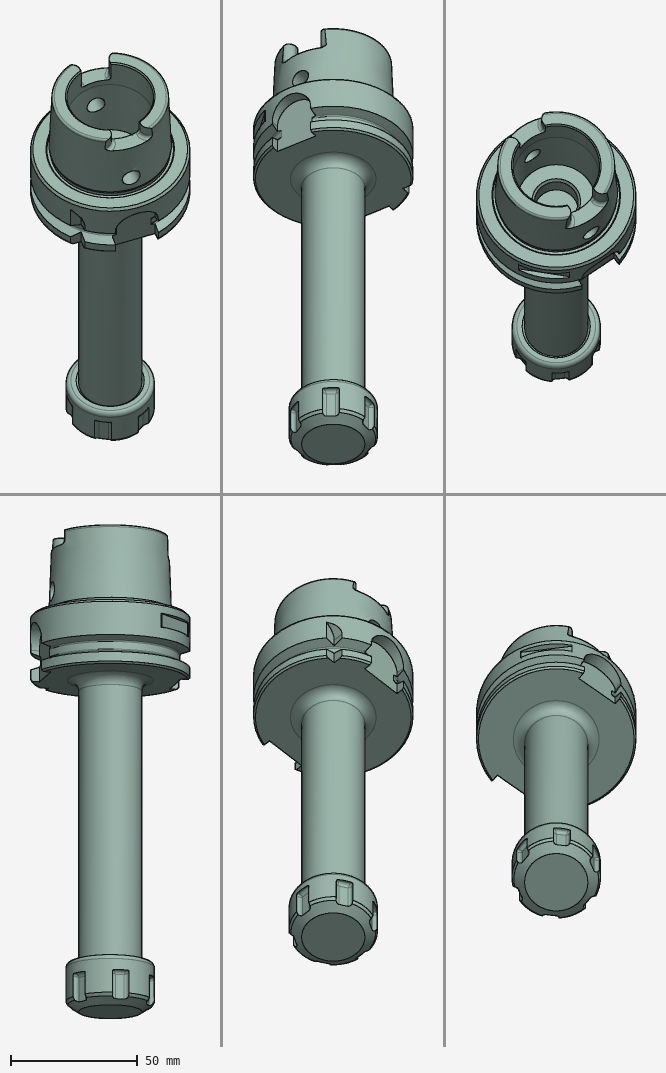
import cadquery as cq
import math

total_height = 192.0

shank_length = 32.0
shank_rim_radius = 23.0
shank_base_radius = 24.2
rim_rounding = 1.0
relief_length = 2.3
relief_inset = 0.4
relief_depth = 0.4
relief_ring_radius = 25.3

bore_radius = 17.0
bore_rim_chamfer = 0.5
bore_straight_depth = 12.9
bore_floor_depth = 38.4
bore_floor_radius = 15.5
well_radius = 8.6
well_chamfer = 1.0
well_depth = 9.6

slot_width = 12.5
slot_corner_radius = 3.5
slot_shoulder = 21.0
left_slot_depth = 10.0
right_slot_depth = 6.0
slot_floor_fillet = 1.5
access_hole_diameter = 7.5
access_hole_depth = 23.2

flange_radius = 31.5
flange_thickness = 26.0
flange_top_chamfer = 1.0
flange_bottom_chamfer = 0.8
groove_radius = 27.5
groove_mouth = 7.0
groove_floor = 3.8
groove_corner_radius = 0.5
groove_center_depth = 50.0

keyway_width = 18.0
keyway_flat = 26.5
keyway_arch_depth = 45.5
notch_floor = 20.2
notch_wall = -19.8
notch_cutter_radius = 8.0
notch_arch_depth = 44.2
pocket_length = 20.4
pocket_height = 5.5
pocket_flat = 29.4
pocket_center_depth = 39.0
pocket_angle = 135

shaft_radius = 12.5
shaft_fillet = 4.5
nut_radius = 17.5
nut_height = 19.5
nut_shoulder = 2.0
nut_mouth_radius = 13.5
nut_lower_edge = 4.0
nut_cone_height = 2.7
nut_cone_radius = 16.7
nut_face_radius = 12.5

spanner_floor = 15.4
spanner_slot_width = 6.7
spanner_floor_fillet = 1.5
spanner_top_corner = 0.8
tall_spanner_top = 14.5
short_spanner_top = 13.2
tall_spanner_angles = (210, 270, 330)
short_spanner_angles = (30, 90, 150)

flange_top = total_height - shank_length
flange_bottom = flange_top - flange_thickness
groove_center = total_height - groove_center_depth
clear = 2 * flange_radius


def arc_middle(center_r, center_z, radius, angle):
    """Point on a circle in the profile plane."""
    turn = math.radians(angle)
    return (center_r + radius * math.cos(turn), center_z + radius * math.sin(turn))


def make_body():
    """Revolve the outer profile of nut, shaft, flange and shank."""
    mouth_depth = nut_mouth_radius - shaft_radius
    shaft_fillet_radius = shaft_radius + shaft_fillet
    relief_radius = shank_base_radius - relief_inset
    profile = (
        cq.Workplane("XZ")
        .moveTo(0, 0)
        .lineTo(nut_face_radius, 0)
        .lineTo(nut_cone_radius, nut_cone_height)
        .lineTo(nut_radius, nut_lower_edge)
        .lineTo(nut_radius, nut_height - nut_shoulder)
        .threePointArc(
            arc_middle(nut_radius - nut_shoulder, nut_height - nut_shoulder, nut_shoulder, 45),
            (nut_radius - nut_shoulder, nut_height),
        )
        .lineTo(nut_mouth_radius, nut_height)
        .lineTo(shaft_radius, nut_height - mouth_depth)
        .lineTo(shaft_radius, flange_bottom - shaft_fillet)
        .threePointArc(
            arc_middle(shaft_fillet_radius, flange_bottom - shaft_fillet, shaft_fillet, 135),
            (shaft_fillet_radius, flange_bottom),
        )
        .lineTo(flange_radius - flange_bottom_chamfer, flange_bottom)
        .lineTo(flange_radius, flange_bottom + flange_bottom_chamfer)
        .lineTo(flange_radius, groove_center - groove_mouth / 2)
        .lineTo(groove_radius, groove_center - groove_floor / 2)
        .lineTo(groove_radius, groove_center + groove_floor / 2)
        .lineTo(flange_radius, groove_center + groove_mouth / 2)
        .lineTo(flange_radius, flange_top - flange_top_chamfer)
        .lineTo(flange_radius - flange_top_chamfer, flange_top)
        .lineTo(relief_ring_radius, flange_top)
        .lineTo(relief_ring_radius - relief_depth, flange_top - relief_depth)
        .lineTo(relief_radius, flange_top - relief_depth)
        .lineTo(relief_radius, flange_top + relief_length / 2)
        .lineTo(shank_base_radius, flange_top + relief_length)
        .lineTo(shank_rim_radius, total_height)
        .lineTo(0, total_height)
        .close()
    )
    body = profile.revolve(360, (0, 0, 0), (0, 1, 0))
    groove_corners = cq.selectors.BoxSelector(
        (-clear, -clear, groove_center - groove_floor),
        (clear, clear, groove_center + groove_floor),
    )
    body = body.faces(">Z").edges().fillet(rim_rounding)
    return body.edges(groove_corners).edges(cq.selectors.RadiusNthSelector(0)).fillet(groove_corner_radius)


def make_bore():
    """Stepped bore: straight mouth, tapering wall, flat floor and a centre well."""
    floor = total_height - bore_floor_depth
    return (
        cq.Workplane("XZ")
        .moveTo(0, floor - well_depth)
        .lineTo(well_radius, floor - well_depth)
        .lineTo(well_radius, floor - well_chamfer)
        .lineTo(well_radius + well_chamfer, floor)
        .lineTo(bore_floor_radius, floor)
        .lineTo(bore_radius, total_height - bore_straight_depth)
        .lineTo(bore_radius, total_height - bore_rim_chamfer)
        .lineTo(bore_radius + bore_rim_chamfer, total_height)
        .lineTo(0, total_height)
        .close()
        .revolve(360, (0, 0, 0), (0, 1, 0))
    )


def driver_slot(depth):
    """Slot through the +X wall of the shank, with rounded corners and a filleted floor."""
    half = slot_width / 2
    inner = bore_radius / 2
    arc_start = slot_shoulder - slot_corner_radius
    wing = half + slot_corner_radius
    bend = slot_corner_radius * math.sqrt(0.5)
    bend_x = arc_start + bend
    bend_y = wing - bend
    return (
        cq.Workplane("XY", origin=(0, 0, total_height - depth))
        .moveTo(inner, -half)
        .lineTo(arc_start, -half)
        .threePointArc((bend_x, -bend_y), (slot_shoulder, -wing))
        .lineTo(slot_shoulder, -clear)
        .lineTo(clear, -clear)
        .lineTo(clear, clear)
        .lineTo(slot_shoulder, clear)
        .lineTo(slot_shoulder, wing)
        .threePointArc((bend_x, bend_y), (arc_start, half))
        .lineTo(inner, half)
        .close()
        .extrude(2 * depth)
        .faces("<Z")
        .edges()
        .fillet(slot_floor_fillet)
    )


def access_hole():
    """Round hole through both walls of the shank along X."""
    return (
        cq.Workplane("YZ", origin=(0, 0, total_height - access_hole_depth))
        .circle(access_hole_diameter / 2)
        .extrude(clear, both=True)
    )


def arched_cutter(radius, x, y, arch_z):
    """Slot running along +X from x, arched on top and open downwards past the flange."""
    drop = arch_z - flange_bottom
    plane = cq.Workplane("YZ", origin=(x, y, arch_z))
    return (
        plane.moveTo(-radius, -drop)
        .lineTo(-radius, 0)
        .threePointArc((0, radius), (radius, 0))
        .lineTo(radius, -drop)
        .close()
        .extrude(clear)
    )


def label_pocket():
    """Flat rectangular pocket in the side of the flange."""
    return (
        cq.Workplane("XY")
        .box(clear, pocket_length, pocket_height, centered=(False, True, True))
        .translate((pocket_flat, 0, total_height - pocket_center_depth))
        .rotate((0, 0, 0), (0, 0, 1), pocket_angle)
    )


def spanner_slot(top, angle):
    """Slot with rounded top corners and a filleted floor, open at the nut face."""
    return (
        cq.Workplane("YZ", origin=(spanner_floor, 0, 0))
        .rect(spanner_slot_width, 2 * top)
        .extrude(clear)
        .edges("|X")
        .fillet(spanner_top_corner)
        .faces("<X")
        .edges()
        .fillet(spanner_floor_fillet)
        .rotate((0, 0, 0), (0, 0, 1), angle)
    )


result = make_body().cut(make_bore())

left_slot = driver_slot(left_slot_depth).rotate((0, 0, 0), (0, 0, 1), 180)
result = result.cut(driver_slot(right_slot_depth)).cut(left_slot).cut(access_hole())

keyway = arched_cutter(keyway_width / 2, keyway_flat, 0, total_height - keyway_arch_depth)
for side in (0, 180):
    result = result.cut(keyway.rotate((0, 0, 0), (0, 0, 1), side))

notch = arched_cutter(
    notch_cutter_radius,
    notch_floor,
    notch_wall - notch_cutter_radius,
    total_height - notch_arch_depth,
)
result = result.cut(notch).cut(label_pocket())

for slot_angle in tall_spanner_angles:
    result = result.cut(spanner_slot(tall_spanner_top, slot_angle))
for slot_angle in short_spanner_angles:
    result = result.cut(spanner_slot(short_spanner_top, slot_angle))